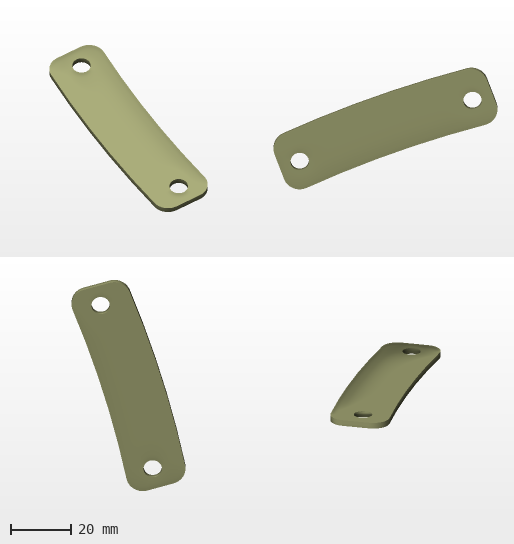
import cadquery as cq
import math

LENGTH = 75.1
WIDTH = 20.0
THICKNESS = 2.0
CENTERLINE_RADIUS = 375.0
CORNER_RADIUS = 5.5
HOLE_DIAMETER = 6.1
HOLE_SPACING = 61.1
HOLE_OFFSET_Y = 2.0

INNER_RADIUS = CENTERLINE_RADIUS - WIDTH / 2
OUTER_RADIUS = CENTERLINE_RADIUS + WIDTH / 2
HALF_LENGTH = LENGTH / 2


def arc_height(radius, x):
    """Y of a long edge of the given radius at distance x from the middle."""
    return CENTERLINE_RADIUS - math.sqrt(radius**2 - x**2)


def curved_plate():
    """Flat plate with straight ends, bowed long edges and rounded corners."""
    inner_end = arc_height(INNER_RADIUS, HALF_LENGTH)
    outer_end = arc_height(OUTER_RADIUS, HALF_LENGTH)
    outline = (
        cq.Workplane("XY")
        .moveTo(-HALF_LENGTH, outer_end)
        .threePointArc((0, -WIDTH / 2), (HALF_LENGTH, outer_end))
        .lineTo(HALF_LENGTH, inner_end)
        .threePointArc((0, WIDTH / 2), (-HALF_LENGTH, inner_end))
        .close()
    )
    return outline.extrude(THICKNESS).edges("|Z").fillet(CORNER_RADIUS)


def mounting_holes():
    """Two through-hole cutters, one near each end."""
    centers = [(side * HOLE_SPACING / 2, HOLE_OFFSET_Y) for side in (-1, 1)]
    return (
        cq.Workplane("XY")
        .pushPoints(centers)
        .circle(HOLE_DIAMETER / 2)
        .extrude(THICKNESS)
    )


result = curved_plate().cut(mounting_holes())